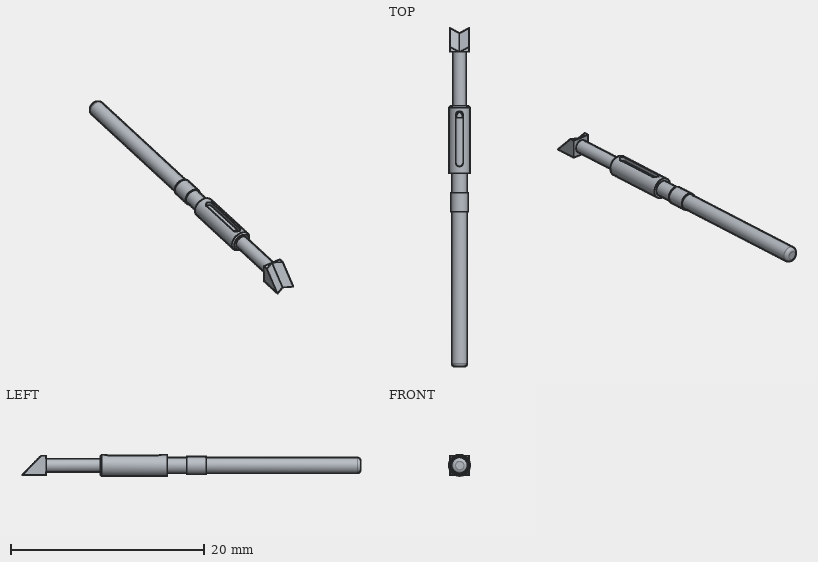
import cadquery as cq

TOTAL_LENGTH = 35.1

HEAD_WIDTH = 2.0
HEAD_LENGTH = 2.5
HEAD_FLAT = 0.53
NOTCH_DEPTH = HEAD_FLAT

PLUNGER_DIAMETER = 1.4

SLEEVE_DIAMETER = 2.2
SLEEVE_LENGTH = 7.0
SLEEVE_FRONT = 8.07
SLEEVE_CHAMFER = 0.18

BARREL_DIAMETER = 1.65
BARREL_LENGTH = 25.95
TAIL_FILLET = 0.4

RING_DIAMETER = 1.85
RING_LENGTH = 2.0
RING_FRONT = 17.05

SLOT_WIDTH = 0.75
SLOT_LENGTH = 5.72
SLOT_FRONT = 8.65
SLOT_FLOOR_DIAMETER = PLUNGER_DIAMETER

RECESS_MARGIN = 0.1
RECESS_WIDTH = SLOT_WIDTH - 2 * RECESS_MARGIN
RECESS_LENGTH = 0.55
RECESS_FLOOR_Z = 0.45

TIP_Y = TOTAL_LENGTH / 2
HEAD_BACK_Y = TIP_Y - HEAD_LENGTH
BARREL_FRONT_Y = BARREL_LENGTH - TIP_Y


def cylinder(diameter, front_y, length):
    """Cylinder on the Y axis, running back (toward -Y) from front_y."""
    return cq.Workplane("XZ", origin=(0, front_y, 0)).circle(diameter / 2).extrude(length)


def make_head():
    """Square head cut by a slope that carries a V notch along its middle."""
    half = HEAD_WIDTH / 2
    block = (
        cq.Workplane("YZ", origin=(-half, 0, 0))
        .polyline([
            (HEAD_BACK_Y, -half),
            (TIP_Y, -half),
            (HEAD_BACK_Y + HEAD_FLAT, half),
            (HEAD_BACK_Y, half),
        ])
        .close()
        .extrude(HEAD_WIDTH)
    )
    return block.cut(make_notch(half))


def make_notch(half):
    """V-shaped prism that runs parallel to the sloped face of the head."""
    run = HEAD_LENGTH - HEAD_FLAT

    def section(z, slope_y):
        return cq.Wire.makePolygon(
            [
                cq.Vector(-half, slope_y, z),
                cq.Vector(0, slope_y - NOTCH_DEPTH, z),
                cq.Vector(half, slope_y, z),
            ],
            close=True,
        )

    bottom = section(-half, TIP_Y)
    top = section(half, TIP_Y - run)
    return cq.Workplane(cq.Solid.makeLoft([bottom, top], True))


def make_sleeve():
    """Collar with a chamfered front edge."""
    sleeve = cylinder(SLEEVE_DIAMETER, TIP_Y - SLEEVE_FRONT, SLEEVE_LENGTH)
    return sleeve.faces(">Y").chamfer(SLEEVE_CHAMFER)


def slot_prism(width, front_y, length, floor_z):
    """Round-ended slot along Y, open upward from floor_z."""
    return (
        cq.Workplane("XY", origin=(0, front_y - length / 2, floor_z))
        .slot2D(length, width, 90)
        .extrude(SLEEVE_DIAMETER)
    )


def make_slot():
    """Window in the top of the sleeve with a round floor, and a flat recess at its front end."""
    front_y = TIP_Y - SLOT_FRONT
    window = slot_prism(SLOT_WIDTH, front_y, SLOT_LENGTH, 0)
    window = window.cut(cylinder(SLOT_FLOOR_DIAMETER, front_y, SLOT_LENGTH))
    recess_front_y = front_y - RECESS_MARGIN
    recess = slot_prism(RECESS_WIDTH, recess_front_y, SLOT_LENGTH / 2, RECESS_FLOOR_Z)
    recess = recess.intersect(cylinder(SLEEVE_DIAMETER, recess_front_y, RECESS_LENGTH))
    return window.union(recess)


def make_barrel():
    """Long round body with a rounded tail end and a press ring."""
    barrel = cylinder(BARREL_DIAMETER, BARREL_FRONT_Y, BARREL_LENGTH)
    barrel = barrel.faces("<Y").edges().fillet(TAIL_FILLET)
    ring = cylinder(RING_DIAMETER, TIP_Y - RING_FRONT, RING_LENGTH)
    return barrel.union(ring)


plunger = cylinder(PLUNGER_DIAMETER, HEAD_BACK_Y, HEAD_BACK_Y - BARREL_FRONT_Y)

probe = make_sleeve().union(make_barrel()).union(plunger).union(make_head())
result = probe.cut(make_slot())